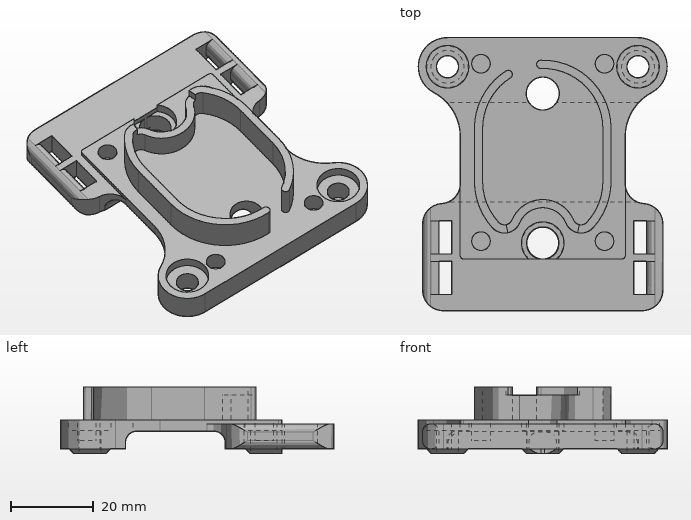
import cadquery as cq
import math

plate_top = 6.0
panel_step = 1.0
panel_top = plate_top + panel_step
rim_height = 8.0
rim_top = panel_top + rim_height
foot_height = 1.1
hidden_overlap = 0.65

overall_length = 66.1
overall_width = 60.25
waist_half = 20.0
ear_radius = 7.1
ear_x = overall_width / 2 - ear_radius
ear_y = overall_length - ear_radius
neck_radius = 12.1
wing_half = 29.1
wing_depth = 26.0
wing_radius = 5.0
sweep_radius = 4.75
panel_front = 12.55
panel_corner_radius = 0.8

bar_width = 4.05
bar_round = 2.0
slot_inner_x = 22.0
slot_length = 8.0
slot_front_ys = (4.0, 13.75)

channel_front = 26.3
channel_back = 50.4
channel_ceiling = 4.2
channel_fillet = 2.65

foot_radius = 5.0
foot_taper = 1.05
counterbore_radius = 5.15
counterbore_depth = 2.5
ear_hole_radius = 2.65
front_screw_radius = 3.85
front_slit_half = 0.4
front_screw_y = panel_front + math.sqrt(front_screw_radius ** 2 - front_slit_half ** 2)
cable_hole_y = 52.55
cable_hole_radius = 4.0
pin_hole_radius = 2.25
pin_hole_depth = 5.0
pin_hole_x = 14.95
pin_hole_ys = (16.85, 59.8)

rim_wall = 2.0
rim_radius = 16.5
rim_back_y = 44.1
rim_front_y = 31.3
lobe_radius = 4.0
bay_radius = 6.1
lobe_x = 9.25
gap_start = 91.8
gap_end = 122.5
notch_depth = 2.0
notch_angle = 12.0


def polar(center, radius, degrees):
    """Point on a circle at an angle from +X."""
    angle = math.radians(degrees)
    return (center[0] + radius * math.cos(angle), center[1] + radius * math.sin(angle))


def toward(start, end, distance):
    """Point a given distance from start along the line to end."""
    span = math.dist(start, end)
    return tuple(a + (b - a) * distance / span for a, b in zip(start, end))


def arc_middle(center, radius, start, end):
    """Middle of the shorter arc between two points of a circle."""
    return toward(center, ((start[0] + end[0]) / 2, (start[1] + end[1]) / 2), radius)


def mirrored(point):
    return (-point[0], point[1])


def both_sides(shape):
    return shape.union(shape.mirror("YZ"))


def block(x_min, x_max, y_min, y_max, z_min, z_max):
    size = (x_max - x_min, y_max - y_min, z_max - z_min)
    return cq.Workplane("XY").box(*size, centered=False).translate((x_min, y_min, z_min))


def cylinder(x, y, radius, z_min, z_max):
    return cq.Workplane("XY", origin=(x, y, z_min)).circle(radius).extrude(z_max - z_min)


def panel():
    """Raised panel with the two screw ears at the back."""
    ear = (ear_x, ear_y)
    neck_reach = neck_radius + ear_radius
    neck_x = waist_half + neck_radius
    neck = (neck_x, ear_y - math.sqrt(neck_reach ** 2 - (neck_x - ear_x) ** 2))
    neck_end = toward(ear, neck, ear_radius)
    neck_start = (waist_half, neck[1])
    neck_middle = arc_middle(neck, neck_radius, neck_start, neck_end)
    ear_side = (ear_x + ear_radius, ear_y)
    ear_back = (ear_x, overall_length)
    outline = (
        cq.Workplane("XY")
        .moveTo(-waist_half, panel_front)
        .lineTo(waist_half, panel_front)
        .lineTo(*neck_start)
        .threePointArc(neck_middle, neck_end)
        .threePointArc(ear_side, ear_back)
        .lineTo(*mirrored(ear_back))
        .threePointArc(mirrored(ear_side), mirrored(neck_end))
        .threePointArc(mirrored(neck_middle), mirrored(neck_start))
        .close()
    )
    corners = cq.selectors.BoxSelector(
        (-wing_half, panel_front - hidden_overlap, -hidden_overlap),
        (wing_half, panel_front + hidden_overlap, panel_top + hidden_overlap),
    )
    return outline.extrude(panel_top).edges("|Z").edges(corners).fillet(panel_corner_radius)


def strap_plate():
    """Front plate with rounded side bars, swept into the waist at its back."""
    corner = (wing_half - wing_radius, wing_depth - wing_radius)
    sweep_x = waist_half + sweep_radius
    sweep_rise = math.sqrt((wing_radius + sweep_radius) ** 2 - (sweep_x - corner[0]) ** 2)
    sweep = (sweep_x, corner[1] + sweep_rise)
    sweep_start = toward(corner, sweep, wing_radius)
    sweep_end = (waist_half, sweep[1])
    sweep_middle = arc_middle(sweep, sweep_radius, sweep_start, sweep_end)
    side_back = (wing_half, corner[1])
    side_middle = arc_middle(corner, wing_radius, side_back, sweep_start)
    front_corner = (corner[0], wing_radius)
    front_middle = polar(front_corner, wing_radius, -45)
    plate = (
        cq.Workplane("XY")
        .moveTo(-corner[0], 0)
        .lineTo(corner[0], 0)
        .threePointArc(front_middle, (wing_half, wing_radius))
        .lineTo(*side_back)
        .threePointArc(side_middle, sweep_start)
        .threePointArc(sweep_middle, sweep_end)
        .lineTo(*mirrored(sweep_end))
        .threePointArc(mirrored(sweep_middle), mirrored(sweep_start))
        .threePointArc(mirrored(side_middle), mirrored(side_back))
        .lineTo(-wing_half, wing_radius)
        .threePointArc(mirrored(front_middle), (-corner[0], 0))
        .close()
        .extrude(plate_top)
    )
    envelope = block(-wing_half, wing_half, 0, overall_length, 0, plate_top)
    return plate.intersect(envelope.edges("|Y").fillet(bar_round))


def strap_slots():
    """Slots on one side, leaving the rounded outer bar standing."""
    bar_center = wing_half - bar_width / 2
    bar = block(wing_half - bar_width, wing_half, 0, wing_depth, 0, plate_top)
    bar = bar.edges("|Y").fillet(bar_round)
    slots = cq.Workplane("XY")
    for front in slot_front_ys:
        slots = slots.union(
            block(slot_inner_x, bar_center, front, front + slot_length,
                  -hidden_overlap, plate_top + hidden_overlap)
        )
    return slots.cut(bar)


def waist_channel():
    channel = block(-overall_length, overall_length, channel_front, channel_back,
                    -foot_height - hidden_overlap, channel_ceiling)
    return channel.edges("|X and >Z").fillet(channel_fillet)


def foot(x, y):
    """Tapered foot under a screw hole."""
    return (
        cq.Workplane("XY", origin=(x, y, 0))
        .circle(foot_radius)
        .workplane(offset=-foot_height)
        .circle(foot_radius - foot_taper)
        .loft(ruled=True)
    )


def screw_hole(x, y, radius):
    shaft = cylinder(x, y, radius, -foot_height - hidden_overlap, panel_top + hidden_overlap)
    return shaft.union(
        cylinder(x, y, counterbore_radius, panel_top - counterbore_depth, panel_top + hidden_overlap)
    )


def rim_column(inset, lobe, bay):
    """Solid bounded by the rim outline moved inward by the inset."""
    radius = rim_radius - inset
    lobe_radius_here = lobe_radius - inset
    bay_radius_here = bay_radius + inset
    front_start = toward((0, rim_front_y), lobe, radius)
    lobe_end = toward(lobe, bay, lobe_radius_here)
    front_middle = arc_middle((0, rim_front_y), radius, (radius, rim_front_y), front_start)
    lobe_middle = arc_middle(lobe, lobe_radius_here, front_start, lobe_end)
    return (
        cq.Workplane("XY", origin=(0, 0, panel_top))
        .moveTo(radius, rim_back_y)
        .lineTo(radius, rim_front_y)
        .threePointArc(front_middle, front_start)
        .threePointArc(lobe_middle, lobe_end)
        .threePointArc((0, bay[1] + bay_radius_here), mirrored(lobe_end))
        .threePointArc(mirrored(lobe_middle), mirrored(front_start))
        .threePointArc(mirrored(front_middle), (-radius, rim_front_y))
        .lineTo(-radius, rim_back_y)
        .threePointArc((0, rim_back_y + radius), (radius, rim_back_y))
        .close()
        .extrude(rim_height)
    )


def rim():
    """Upright wall with a round-ended opening at the back and a lowered bay."""
    lobe_reach = rim_radius - lobe_radius
    lobe = (lobe_x, rim_front_y - math.sqrt(lobe_reach ** 2 - lobe_x ** 2))
    bay_reach = bay_radius + lobe_radius
    bay = (0, lobe[1] - math.sqrt(bay_reach ** 2 - lobe_x ** 2))
    wall = rim_column(0, lobe, bay).cut(rim_column(rim_wall, lobe, bay))

    back_center = (0, rim_back_y)
    reach = 2 * rim_radius
    gap = (
        cq.Workplane("XY", origin=(0, 0, panel_top))
        .polyline([back_center, polar(back_center, reach, gap_start), polar(back_center, reach, gap_end)])
        .close()
        .extrude(rim_height)
    )
    wall = wall.cut(gap)
    for angle in (gap_start, gap_end):
        end = polar(back_center, rim_radius - rim_wall / 2, angle)
        wall = wall.union(cylinder(*end, rim_wall / 2, panel_top, rim_top))

    notch_corner = polar(lobe, 2 * lobe_radius, -90 - notch_angle)
    notch_back = (lobe[0], rim_front_y)
    notch = (
        cq.Workplane("XY", origin=(0, 0, rim_top - notch_depth))
        .polyline([lobe, notch_corner, mirrored(notch_corner), mirrored(lobe),
                   mirrored(notch_back), notch_back])
        .close()
        .extrude(notch_depth + hidden_overlap)
    )
    return wall.cut(notch)


slotted_plate = strap_plate().cut(both_sides(strap_slots()))
front_part = block(-wing_half, wing_half, 0, panel_front, -foot_height, panel_top)

body = slotted_plate.union(panel()).union(both_sides(foot(ear_x, ear_y)))
body = body.union(foot(0, front_screw_y).cut(front_part))
body = body.cut(waist_channel())
body = body.cut(both_sides(screw_hole(ear_x, ear_y, ear_hole_radius)))
body = body.cut(screw_hole(0, front_screw_y, front_screw_radius).cut(front_part))
body = body.cut(cylinder(0, cable_hole_y, cable_hole_radius, -foot_height, panel_top))
for pin_y in pin_hole_ys:
    pin_hole = cylinder(pin_hole_x, pin_y, pin_hole_radius, panel_top - pin_hole_depth, panel_top)
    body = body.cut(both_sides(pin_hole))

result = body.union(rim())